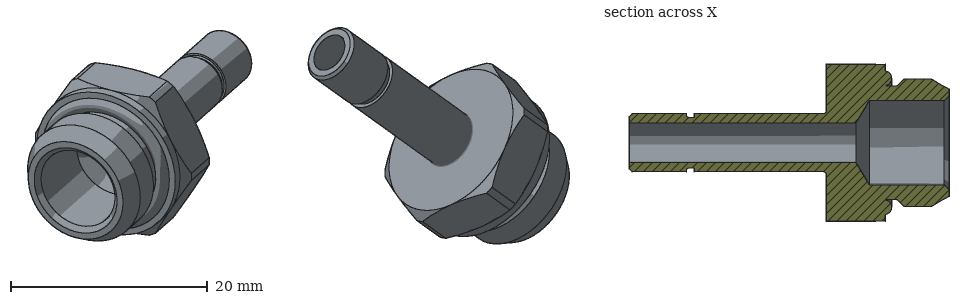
import cadquery as cq
import math

length = 32.5

thread_diameter = 13.0
lead_in_length = 1.8
lead_in_angle = 30.0
thread_end = 4.6
neck_diameter = 11.6

ring_diameter = 14.62
ring_projection = 0.68
collar_start = 6.5

across_flats = 16.0
across_corners = 18.0
hex_start = 7.5
hex_end = 12.5
hex_chamfer_angle = 30.0

stem_diameter = 5.95
stem_root_fillet = 0.3
tip_chamfer = 0.3
groove_diameter = 5.2
groove_start = 25.9
groove_end = 26.68
groove_chamfer = 0.15

through_diameter = 4.0
counterbore_diameter = 8.5
counterbore_depth = 8.12
mouth_chamfer = 0.52
drill_point_angle = 118.0


def revolve_about_y(profile):
    """Turn a closed profile of (radius, position) around the Y axis."""
    return profile.close().revolve(360, (0, 0, 0), (0, 1, 0))


def turned_body():
    """Thread, neck, sealing ring, collar and grooved stem."""
    thread_radius = thread_diameter / 2
    neck_radius = neck_diameter / 2
    ring_radius = ring_diameter / 2
    collar_radius = across_flats / 2
    stem_radius = stem_diameter / 2
    groove_radius = groove_diameter / 2
    nose_radius = thread_radius - lead_in_length * math.tan(math.radians(lead_in_angle))
    neck_start = thread_end + thread_radius - neck_radius
    ring_crest = ((neck_radius + ring_radius) / 2, collar_start - ring_projection)
    fillet_offset = stem_root_fillet * (1 - math.sqrt(0.5))
    fillet_middle = (stem_radius + fillet_offset, hex_end + fillet_offset)

    profile = (
        cq.Workplane("XY")
        .moveTo(0, 0)
        .lineTo(nose_radius, 0)
        .lineTo(thread_radius, lead_in_length)
        .lineTo(thread_radius, thread_end)
        .lineTo(neck_radius, neck_start)
        .lineTo(neck_radius, collar_start)
        .threePointArc(ring_crest, (ring_radius, collar_start))
        .lineTo(collar_radius, collar_start)
        .lineTo(collar_radius, hex_end)
        .lineTo(stem_radius + stem_root_fillet, hex_end)
        .threePointArc(fillet_middle, (stem_radius, hex_end + stem_root_fillet))
        .lineTo(stem_radius, groove_start)
        .lineTo(groove_radius, groove_start)
        .lineTo(groove_radius, groove_end - groove_chamfer)
        .lineTo(groove_radius + groove_chamfer, groove_end)
        .lineTo(stem_radius, groove_end)
        .lineTo(stem_radius, length - tip_chamfer)
        .lineTo(stem_radius - tip_chamfer, length)
        .lineTo(0, length)
    )
    return revolve_about_y(profile)


def hexagon():
    """Hexagon with corners on X, rounded corners and both ends chamfered."""
    sharp_corners = across_flats / math.cos(math.radians(30))
    prism = (
        cq.Workplane("XZ", origin=(0, hex_start, 0))
        .polygon(6, sharp_corners)
        .extrude(hex_start - hex_end)
    )

    flat_radius = across_flats / 2
    corner_radius = across_corners / 2
    chamfer_depth = (corner_radius - flat_radius) * math.tan(math.radians(hex_chamfer_angle))
    envelope = (
        cq.Workplane("XY")
        .moveTo(0, hex_start)
        .lineTo(flat_radius, hex_start)
        .lineTo(corner_radius, hex_start + chamfer_depth)
        .lineTo(corner_radius, hex_end - chamfer_depth)
        .lineTo(flat_radius, hex_end)
        .lineTo(0, hex_end)
    )
    return prism.intersect(revolve_about_y(envelope))


def bore():
    """Through hole with a chamfered counterbore ending in a drill point."""
    through_radius = through_diameter / 2
    counterbore_radius = counterbore_diameter / 2
    half_point_angle = math.radians(drill_point_angle / 2)
    point_depth = (counterbore_radius - through_radius) / math.tan(half_point_angle)
    profile = (
        cq.Workplane("XY")
        .moveTo(0, 0)
        .lineTo(counterbore_radius + mouth_chamfer, 0)
        .lineTo(counterbore_radius, mouth_chamfer)
        .lineTo(counterbore_radius, counterbore_depth)
        .lineTo(through_radius, counterbore_depth + point_depth)
        .lineTo(through_radius, length)
        .lineTo(0, length)
    )
    return revolve_about_y(profile)


result = turned_body().union(hexagon()).cut(bore())